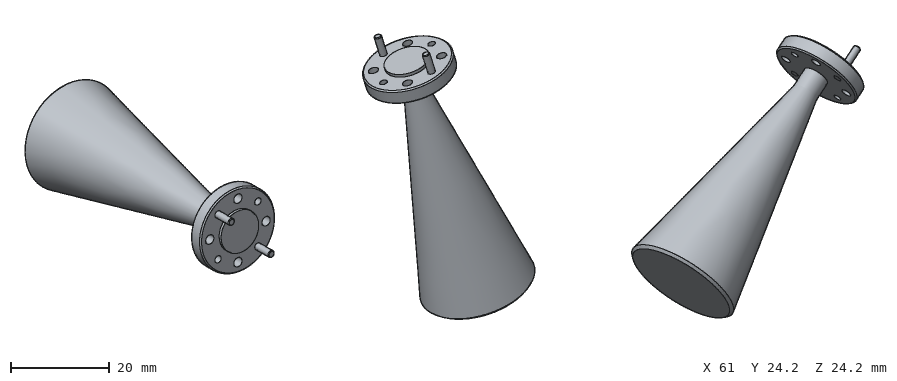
import cadquery as cq
import math

overall_length = 61.0
rim_length = 0.6
neck_start = 48.75
flange_front = 53.1
flange_thickness = 3.3
boss_height = 0.7

horn_radius = 12.1
rim_inset = 0.6
neck_radius = 2.75
flange_radius = 9.5
flange_chamfer = 0.3
boss_radius = 4.75

pitch_radius = 7.15
bolt_hole_diameter = 2.1
dowel_hole_diameter = 1.6
pin_diameter = 1.6
pin_chamfer = 0.2

bolt_angles = (0, 90, 180, 270)
dowel_hole_angles = (45, 225)
pin_angles = (135, 315)

flange_back = flange_front + flange_thickness
boss_end = flange_back + boss_height
pin_length = overall_length - flange_front


def pitch_points(angles):
    """Points on the pitch circle, in the local (Y, Z) plane."""
    return [
        (pitch_radius * math.cos(math.radians(a)), pitch_radius * math.sin(math.radians(a)))
        for a in angles
    ]


def flange_plane():
    """YZ plane on the horn side of the flange, facing +X."""
    return cq.Workplane("YZ", origin=(flange_front, 0, 0))


def drill_tool(angles, diameter):
    """Cylinders that pass right through the flange."""
    return flange_plane().pushPoints(pitch_points(angles)).circle(diameter / 2).extrude(flange_thickness)


def make_horn():
    """Solid cone, neck, flange and boss, drilled for bolts, dowels and pins."""
    profile = (
        cq.Workplane("XZ")
        .moveTo(0, 0)
        .lineTo(0, horn_radius - rim_inset)
        .lineTo(rim_length, horn_radius)
        .lineTo(neck_start, neck_radius)
        .lineTo(flange_front, neck_radius)
        .lineTo(flange_front, flange_radius - flange_chamfer)
        .lineTo(flange_front + flange_chamfer, flange_radius)
        .lineTo(flange_back - flange_chamfer, flange_radius)
        .lineTo(flange_back, flange_radius - flange_chamfer)
        .lineTo(flange_back, boss_radius)
        .lineTo(boss_end, boss_radius)
        .lineTo(boss_end, 0)
        .close()
    )
    horn = profile.revolve(360, (0, 0, 0), (1, 0, 0))
    horn = horn.cut(drill_tool(bolt_angles, bolt_hole_diameter))
    horn = horn.cut(drill_tool(dowel_hole_angles, dowel_hole_diameter))
    return horn.cut(drill_tool(pin_angles, pin_diameter))


def make_pin(point):
    """Alignment pin, flush with the horn side of the flange, bevelled at its free end."""
    pin = flange_plane().center(*point).circle(pin_diameter / 2).extrude(pin_length)
    return pin.faces(">X").chamfer(pin_chamfer)


horn = make_horn()
pins = [make_pin(point) for point in pitch_points(pin_angles)]

result = cq.Compound.makeCompound([horn.val(), *[pin.val() for pin in pins]])